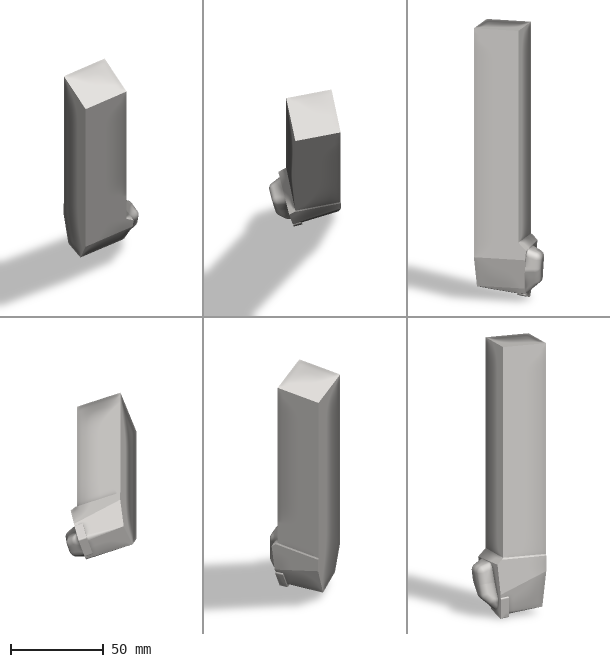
import cadquery as cq

total_height = 151.4
shank_size = 25.0

head_top = 34.5
side_pad = 0.5
side_pad_slope = 0.9
head_depth = 33.3
flank_start = 25.0
flank_foot = (8.0, 19.0)
chamfer_foot = (4.7, 17.1)

approach_angle = 15.0
relief_angle = 6.0
relief_corner = (4.1, 5.1)
relief_span = 227.0

tip = (2.7, 25.1, -0.17)
rake_slope_z = 0.11
rake_slope_x = 0.04

insert_side = 12.7
insert_thickness = 4.7
insert_nose_radius = 0.8

clamp_height = 7.3
clamp_draft = 18.0
clamp_round = 3.6
clamp_outline = [
    (30.5, 4.8), (30.5, 20.3), (18.9, 20.0), (4.4, 11.4), (4.4, 3.5), (10.5, 0.9), (20.1, 3.3),
]
nose_slope_start = 4.4
nose_slope_top = 12.1

back_plane = cq.Plane(origin=(0, 0, 0), xDir=(0, 0, 1), normal=(0, 1, 0))
rake_plane = cq.Plane(
    origin=tip,
    xDir=(0, rake_slope_z, 1),
    normal=(-rake_slope_x, 1, -rake_slope_z),
)


def make_shank():
    """Square bar standing on the head."""
    return (
        cq.Workplane("XY", origin=(0, 0, head_top))
        .rect(shank_size, shank_size, centered=False)
        .extrude(total_height - head_top)
    )


def make_head():
    """Head outline along Y, trimmed by the top slope, rake face and relief faces."""
    pad_top = head_top - side_pad_slope
    outline = [
        (head_top, 0), (head_top, shank_size), (flank_start, shank_size),
        flank_foot, chamfer_foot, (0, 0), (0, -side_pad), (pad_top, -side_pad),
    ]
    head = cq.Workplane(back_plane).polyline(outline).close().extrude(head_depth)

    slope_run = head_depth - shank_size
    slope_cut = (
        cq.Workplane("YZ", origin=(-side_pad, 0, 0))
        .moveTo(shank_size, head_top)
        .lineTo(head_depth, head_top)
        .lineTo(head_depth, head_top - slope_run)
        .close()
        .extrude(shank_size + side_pad)
    )
    above_rake = cq.Workplane(rake_plane).rect(relief_span, relief_span).extrude(head_depth)

    relief = (
        cq.Workplane(back_plane)
        .center(*relief_corner)
        .transformed(rotate=(0, 0, -approach_angle))
        .rect(relief_span, relief_span, centered=False)
        .extrude(head_depth, taper=-relief_angle)
    )
    return head.cut(slope_cut).cut(above_rake).intersect(relief)


def make_clamp():
    """Drafted clamp with rounded edges and a sloping nose above the insert."""
    clamp = (
        cq.Workplane(rake_plane).polyline(clamp_outline).close()
        .extrude(clamp_height, taper=clamp_draft)
    )
    nose_plane = cq.Plane(origin=tip, xDir=rake_plane.xDir, normal=-rake_plane.yDir)
    nose_cut = (
        cq.Workplane(nose_plane)
        .moveTo(nose_slope_start, 0)
        .lineTo(nose_slope_top, clamp_height)
        .lineTo(nose_slope_start, clamp_height)
        .close()
        .extrude(shank_size, both=True)
    )
    clamp = clamp.cut(nose_cut)

    base_edges = clamp.faces(cq.selectors.DirectionMinMaxSelector(rake_plane.zDir, False)).edges().vals()
    raised_edges = [
        edge for edge in clamp.edges().vals()
        if not any(edge.isSame(base_edge) for base_edge in base_edges)
    ]
    return clamp.newObject(raised_edges).fillet(clamp_round)


def make_insert():
    """Square plate sunk into the holder with its top flush with the rake face."""
    return (
        cq.Workplane(rake_plane)
        .transformed(rotate=(0, 0, -approach_angle))
        .rect(insert_side, insert_side, centered=False)
        .extrude(-insert_thickness)
        .edges(cq.selectors.ParallelDirSelector(rake_plane.zDir))
        .fillet(insert_nose_radius)
    )


insert = make_insert()
holder = make_shank().union(make_head()).union(make_clamp()).cut(insert)

result = cq.Compound.makeCompound([holder.val(), insert.val()])